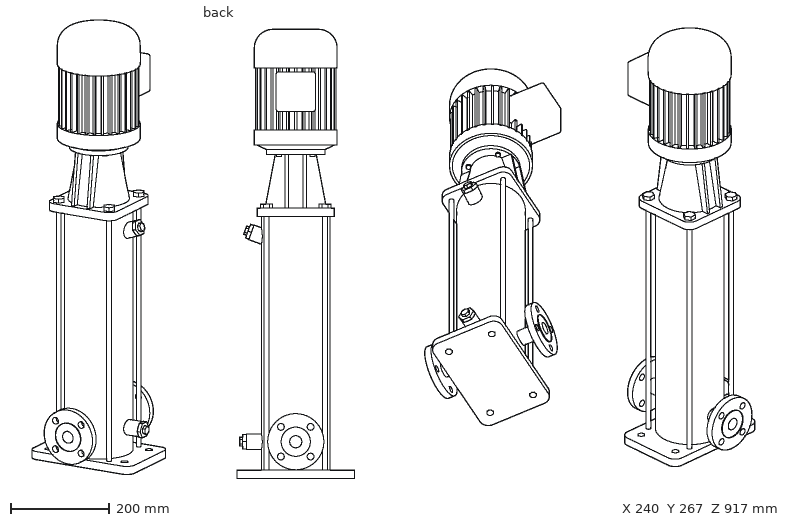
import cadquery as cq

base_length = 240.0
plate_width = 158.0
plate_thickness = 17.0
plate_corner_radius = 19.0
base_hole_diameter = 14.0
base_hole_x = 90.0
base_hole_y = 49.5

barrel_diameter = 140.0
head_plate_top = 552.0
rod_diameter = 10.0
rod_offset = 60.0
nut_corners = 25.0
nut_height = 8.0

port_height = 75.0
port_reach = 125.0
port_pipe_diameter = 32.0
port_bore_diameter = 25.0
flange_diameter = 115.0
flange_thickness = 15.0
flange_face_diameter = 60.0
flange_face_height = 2.0
flange_hole_diameter = 14.0
flange_hole_offset = 30.0

boss_diameter = 32.0
plug_corners = 35.0
plug_thickness = 7.0
plug_head_corners = 18.0
plug_head_height = 6.0
drain_length = 101.0
vent_length = 96.0
vent_axis_height = 469.5
vent_tilt = 20

motor_flange_bottom = 661.0
lantern_bottom_diameter = 126.0
lantern_top_diameter = 84.0
rib_thickness = 6.0
rib_offset = 18.0
rib_bottom_reach = 73.0
rib_top_reach = 58.0
motor_bolt_diameter = 10.0
motor_bolt_offset = 34.0
motor_bolt_height = 4.0

total_height = 917
motor_diameter = 170.0
motor_flange_diameter = 120.0
motor_flange_top = 671.0
flare_diameter = 158.0
shield_bottom = 680.0
shield_top = 712.0
cowl_bottom = 838.0
dome_radius = 38.5
core_diameter = 140.0
fin_diameter = 165.0
fin_width = 4.1
fin_count = 30
fin_root_overlap = 9.0

box_width = 81.0
box_bottom = 749.0
box_top = 830.0
box_reach = 142.0
box_edge_radius = 5.5


def cylinder(diameter, bottom, top):
    return cq.Workplane("XY", origin=(0, 0, bottom)).circle(diameter / 2).extrude(top - bottom)


def four_corners(x, y):
    return [(sx * x, sy * y) for sx in (-1, 1) for sy in (-1, 1)]


def posts(diameter, offset, bottom, top):
    """Four equal round posts on the corners of a square."""
    plane = cq.Workplane("XY", origin=(0, 0, bottom))
    return plane.pushPoints(four_corners(offset, offset)).circle(diameter / 2).extrude(top - bottom)


def rod_nuts():
    """Hexagonal nuts on the rod ends, each with corners toward -X and +X."""
    nut = cq.Workplane("XY").polygon(6, nut_corners).extrude(nut_height)
    nuts = cq.Workplane("XY")
    for x, y in four_corners(rod_offset, rod_offset):
        nuts = nuts.union(nut.translate((x, y, head_plate_top)))
    return nuts


def plate(length, bottom):
    blank = cq.Workplane("XY", origin=(0, 0, bottom)).rect(length, plate_width).extrude(plate_thickness)
    return blank.edges("|Z").fillet(plate_corner_radius)


def base_plate():
    holes = (
        cq.Workplane("XY")
        .pushPoints(four_corners(base_hole_x, base_hole_y))
        .circle(base_hole_diameter / 2)
        .extrude(plate_thickness)
    )
    return plate(base_length, 0).cut(holes)


def port_cylinders(diameter, start, end, centers=((0, 0),)):
    """Cylinders on the port axis, or at offsets from it, between two distances toward -Y."""
    plane = cq.Workplane("XZ", origin=(0, -start, port_height))
    return plane.pushPoints(centers).circle(diameter / 2).extrude(end - start)


def port():
    """Flanged port toward -Y; the barrel later closes the inner end of its bore."""
    flange_front = port_reach - flange_face_height
    flange_back = flange_front - flange_thickness
    hole_centers = four_corners(flange_hole_offset, flange_hole_offset)
    pipe = port_cylinders(port_pipe_diameter, 0, port_reach)
    disc = port_cylinders(flange_diameter, flange_back, flange_front)
    raised_face = port_cylinders(flange_face_diameter, flange_back, port_reach)
    bore = port_cylinders(port_bore_diameter, 0, port_reach)
    bolt_holes = port_cylinders(flange_hole_diameter, flange_back, port_reach, hole_centers)
    return pipe.union(disc).union(raised_face).cut(bore).cut(bolt_holes)


def plugged_boss(length):
    """Boss along +X with a hexagonal plug and a small hexagonal head on its end."""
    end_plane = cq.Workplane("YZ", origin=(length, 0, 0))
    boss = cq.Workplane("YZ").circle(boss_diameter / 2).extrude(length)
    plug = end_plane.polygon(6, plug_corners).extrude(plug_thickness)
    head = (
        end_plane.workplane(offset=plug_thickness)
        .polygon(6, plug_head_corners)
        .extrude(plug_head_height)
        .rotate((0, 0, 0), (1, 0, 0), 30)
    )
    return boss.union(plug).union(head)


def lantern():
    height = motor_flange_bottom - head_plate_top
    cone = (
        cq.Workplane("XY", origin=(0, 0, head_plate_top))
        .circle(lantern_bottom_diameter / 2)
        .workplane(offset=height)
        .circle(lantern_top_diameter / 2)
        .loft()
    )
    rib_outline = [
        (-rib_bottom_reach, head_plate_top),
        (rib_bottom_reach, head_plate_top),
        (rib_top_reach, motor_flange_bottom),
        (-rib_top_reach, motor_flange_bottom),
    ]
    rib = cq.Workplane("YZ").polyline(rib_outline).close().extrude(rib_thickness / 2, both=True)
    for side in (-1, 1):
        cone = cone.union(rib.translate((side * rib_offset, 0, 0)))
    return cone


def motor():
    radius = motor_diameter / 2
    flange_radius = motor_flange_diameter / 2
    flare_radius = flare_diameter / 2
    core_radius = core_diameter / 2
    body = (
        cq.Workplane("XZ")
        .moveTo(0, motor_flange_bottom)
        .lineTo(flange_radius, motor_flange_bottom)
        .lineTo(flange_radius, motor_flange_top)
        .lineTo(flare_radius, shield_bottom)
        .lineTo(radius, shield_bottom)
        .lineTo(radius, shield_top)
        .lineTo(core_radius, shield_top)
        .lineTo(core_radius, cowl_bottom)
        .lineTo(radius, cowl_bottom)
        .lineTo(radius, total_height - dome_radius)
        .radiusArc((radius - dome_radius, total_height), -dome_radius)
        .lineTo(0, total_height)
        .close()
        .revolve(360, (0, 0, 0), (0, 1, 0))
    )
    pitch = 360 / fin_count
    fin_plane = cq.Workplane("XY", origin=(0, 0, shield_top)).transformed(rotate=(0, 0, pitch / 2))
    fin_start = core_radius - fin_root_overlap
    fin_length = fin_diameter / 2 - fin_start
    fins = (
        fin_plane.polarArray(fin_start + fin_length / 2, 0, 360, fin_count)
        .rect(fin_length, fin_width)
        .extrude(cowl_bottom - shield_top)
    )
    return body.union(fins)


def terminal_box():
    height = box_top - box_bottom
    return (
        cq.Workplane("XY")
        .box(box_width, box_reach, height, centered=(True, False, False))
        .edges("|Y or >Y")
        .fillet(box_edge_radius)
        .translate((0, 0, box_bottom))
    )


head_plate_bottom = head_plate_top - plate_thickness
motor_bolt_bottom = motor_flange_bottom - motor_bolt_height
drain = plugged_boss(drain_length).translate((0, 0, port_height))
vent = (
    plugged_boss(vent_length)
    .rotate((0, 0, 0), (0, 1, 0), -vent_tilt)
    .translate((0, 0, vent_axis_height))
)

parts = [
    port(),
    port().mirror("XZ"),
    drain,
    vent,
    cylinder(barrel_diameter, plate_thickness, head_plate_bottom),
    plate(plate_width, head_plate_bottom),
    posts(rod_diameter, rod_offset, plate_thickness, head_plate_bottom),
    rod_nuts(),
    lantern(),
    posts(motor_bolt_diameter, motor_bolt_offset, motor_bolt_bottom, motor_flange_bottom),
    motor(),
    terminal_box(),
]

result = base_plate()
for part in parts:
    result = result.union(part)